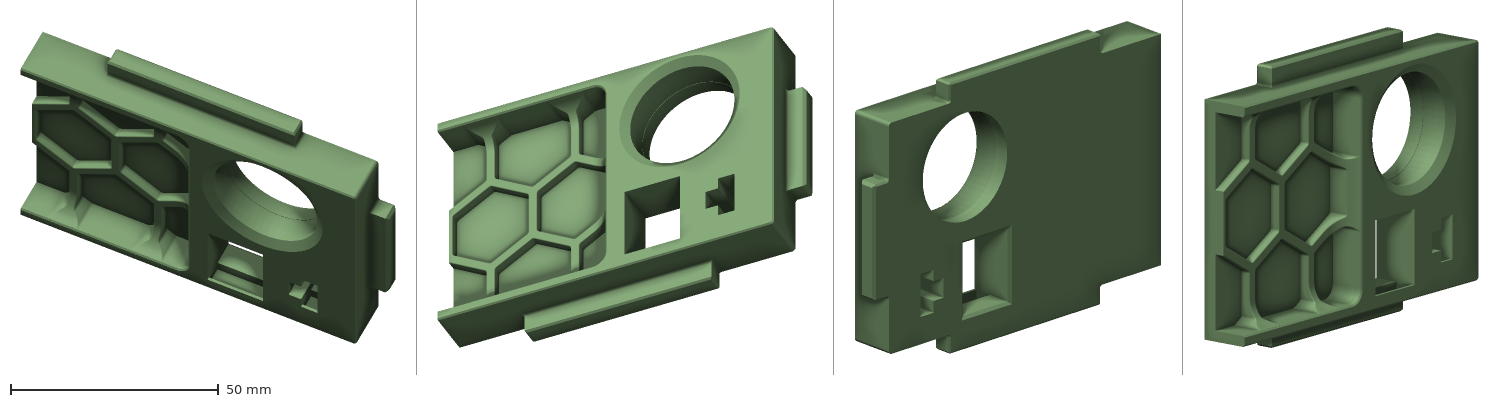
import cadquery as cq
import math


tolerance = 0.001

plate_length = 89.8
plate_depth = 12.4
plate_height = 59.6
edge_chamfer = 0.4
end_corner_radius = 0.9

tab_reach = 5.1
side_tab_reach = 94.7 - plate_length
tab_depth = 4.9
long_tab_length = 50.0
long_tab_centre = 44.7
side_tab_length = 30.0
tab_chamfer = 0.5
side_tab_chamfer = 0.8
tab_flare = 0.7
root_depth = 0.9

pocket_length = 44.8
pocket_height = 54.2
pocket_corner_radius = 3.4
pocket_floor = 9.0
pocket_rim_chamfer = 0.4

web_top = 6.4
web_cove_radius = 6.25
bowl_corner_radius = web_cove_radius + 0.4
cell_pitch = 22.5
web_width = 2.3
cell_first_x = 11.1
cell_row_z = -0.2
cell_corner_radius = 0.85
web_edge_radius = 0.3
row_rise = cell_pitch * math.sqrt(3) / 2
outer_row_x = cell_first_x - cell_pitch / 2
cell_rows = [(-1, outer_row_x, 3), (0, cell_first_x, 2), (1, outer_row_x, 3)]

bore_x = 64.7
bore_z = 12.1
bore_radius = 13.9
bore_mouth_radius = 16.1
bore_mouth_depth = 1.6
bore_relief_radius = 14.0
bore_relief_end = 8.5

window_left = 50.0
window_width = 14.9
window_bottom = -26.4
window_height = 18.8
window_flare = 0.8
lip_thickness = 0.8
undercut_end = 5.6
undercut_drop = 2.65

tee_bar_left = 75.0
tee_bar_width = 4.4
tee_bar_bottom = -22.7
tee_bar_height = 11.1
tee_stem_left = 71.7
tee_stem_height = 5.1


def block(x_start, x_end, y_start, y_end, z_start, z_end):
    """A box given by its limits along each axis."""
    size = (x_end - x_start, y_end - y_start, z_end - z_start)
    return cq.Workplane("XY").box(*size, centered=False).translate((x_start, y_start, z_start))


def plate_blank():
    plate = block(0, plate_length, 0, plate_depth, -plate_height / 2, plate_height / 2)
    plate = plate.edges("|Y and >X").fillet(end_corner_radius)
    return plate.faces("<Y").edges("not <X").chamfer(edge_chamfer)


def tab(length, reach, outer_chamfer):
    """A tab rising along +Z from the plate's edge at Z = 0, centred on X, with a coved foot."""
    front = plate_depth - tab_depth
    body = block(-length / 2, length / 2, front, plate_depth, -root_depth, reach)
    body = body.edges(">Z").chamfer(outer_chamfer)
    body = body.edges("|Z and >Y").chamfer(tab_chamfer)
    margin = 2 * tab_flare
    root = block(-length / 2 - margin, length / 2 + margin, front - margin, plate_depth, -root_depth, 0)
    joined = body.union(root)
    foot = joined.edges(cq.selectors.BoxSelector(
        (-length / 2 - tolerance, front - tolerance, -tolerance),
        (length / 2 + tolerance, plate_depth - tolerance, tolerance)))
    return foot.fillet(tab_flare)


def all_tabs():
    long_tab = tab(long_tab_length, tab_reach, tab_chamfer)
    upper = long_tab.translate((long_tab_centre, 0, plate_height / 2))
    lower = upper.mirror("XY")
    side = tab(side_tab_length, side_tab_reach, side_tab_chamfer).rotate((0, 0, 0), (0, 1, 0), 90)
    return upper.union(lower).union(side.translate((plate_length, 0, 0)))


def pocket_rim():
    """The chamfered mouth of the pocket."""
    half_height = pocket_height / 2 + pocket_rim_chamfer
    reach = pocket_length + pocket_rim_chamfer
    rim = block(-reach, reach, 0, pocket_rim_chamfer, -half_height, half_height)
    rim = rim.edges("|Y and >X").fillet(pocket_corner_radius + pocket_rim_chamfer)
    return rim.faces(">Y").edges("not <X").chamfer(pocket_rim_chamfer - tolerance)


def pocket_bowl():
    """The pocket in front of the web, coved where the web meets the walls."""
    half_height = pocket_height / 2
    bowl = block(-pocket_length, pocket_length, 0, web_top, -half_height, half_height)
    bowl = bowl.edges("|Y and >X").fillet(bowl_corner_radius)
    return bowl.faces(">Y").edges("not <X").fillet(web_cove_radius)


def in_pocket_corner(edge):
    centre = edge.Center()
    gap = max(pocket_length - centre.x, pocket_height / 2 - abs(centre.z))
    return gap < tolerance


def beside_pocket_corner(edge):
    """True where a rounded pocket corner runs smoothly into a pocket wall."""
    centre = edge.Center()
    along_x = pocket_length - centre.x
    along_z = pocket_height / 2 - abs(centre.z)
    return abs(along_x + along_z - pocket_corner_radius) < tolerance and min(along_x, along_z) < tolerance


def hex_cell(x, z):
    """A hexagonal recess, cut off by the pocket walls and rounded in its corners."""
    half_height = pocket_height / 2
    across_corners = (cell_pitch - web_width) * 2 / math.sqrt(3)
    cell = (
        cq.Workplane("XY")
        .polygon(6, across_corners)
        .extrude(pocket_floor)
        .rotate((0, 0, 0), (0, 0, 1), 30)
        .rotate((0, 0, 0), (1, 0, 0), -90)
        .translate((x, 0, z))
        .intersect(block(-cell_pitch, pocket_length, 0, pocket_floor, -half_height, half_height))
    )
    pocket_corner = cell.edges("|Y").filter(in_pocket_corner)
    if pocket_corner.size():
        cell = pocket_corner.fillet(pocket_corner_radius)
    sharp_corners = cell.edges("|Y").filter(lambda edge: not beside_pocket_corner(edge))
    return sharp_corners.fillet(cell_corner_radius)


def pocket():
    """The whole recess; the material left between its cells is the honeycomb web."""
    space = pocket_rim().union(pocket_bowl())
    for row, first_x, count in cell_rows:
        for column in range(count):
            cell = hex_cell(first_x + column * cell_pitch, cell_row_z + row * row_rise)
            space = space.union(cell)
    return space


def on_cell_mouth(edge):
    """True for an edge where a cell wall meets the flat front of the web."""
    box = edge.BoundingBox()
    is_flat = abs(box.ymin - web_top) < tolerance and abs(box.ymax - web_top) < tolerance
    centre = edge.Center()
    cove_start_x = pocket_length - web_cove_radius
    cove_start_z = pocket_height / 2 - web_cove_radius
    is_inside = tolerance < centre.x < cove_start_x - tolerance and abs(centre.z) < cove_start_z - tolerance
    return is_flat and is_inside


def bore_cylinder(radius, y_start, y_end):
    disc = cq.Workplane("XZ").circle(radius).extrude(y_start - y_end)
    return disc.translate((bore_x, y_start, bore_z))


def bore():
    """The round opening: a conical mouth, a slightly wider middle and a plain rear end."""
    mouth = cq.Workplane(cq.Solid.makeCone(
        bore_mouth_radius, bore_radius, bore_mouth_depth,
        cq.Vector(bore_x, 0, bore_z), cq.Vector(0, 1, 0)))
    through = bore_cylinder(bore_radius, 0, plate_depth)
    relief = bore_cylinder(bore_relief_radius, bore_mouth_depth, bore_relief_end)
    return mouth.union(through).union(relief)


def undercut_slot(left, width, bottom, height):
    """A rectangular through opening, deepened downwards behind a thin front lip."""
    through = block(left, left + width, 0, plate_depth, bottom, bottom + height)
    undercut = block(left, left + width, lip_thickness, undercut_end, bottom - undercut_drop, bottom)
    return through.union(undercut)


def tee():
    """The T-shaped opening: an upright bar with a stem on its left."""
    bar = undercut_slot(tee_bar_left, tee_bar_width, tee_bar_bottom, tee_bar_height)
    centre_z = tee_bar_bottom + tee_bar_height / 2
    stem = block(tee_stem_left, tee_bar_left, 0, plate_depth,
                 centre_z - tee_stem_height / 2, centre_z + tee_stem_height / 2)
    return bar.union(stem)


def window():
    """The rectangular opening, flared at the back face."""
    slot = undercut_slot(window_left, window_width, window_bottom, window_height)
    flare = (
        cq.Workplane("XZ", origin=(window_left + window_width / 2, plate_depth,
                                   window_bottom + window_height / 2))
        .rect(window_width + 2 * window_flare, window_height + 2 * window_flare)
        .extrude(window_flare, taper=45)
    )
    return slot.union(flare)


def housing_body():
    body = plate_blank().union(all_tabs()).cut(pocket())
    body = body.edges().filter(on_cell_mouth).fillet(web_edge_radius)
    return body.cut(bore()).cut(window()).cut(tee())


housing = housing_body()

result = cq.Compound.makeCompound([housing.val()])